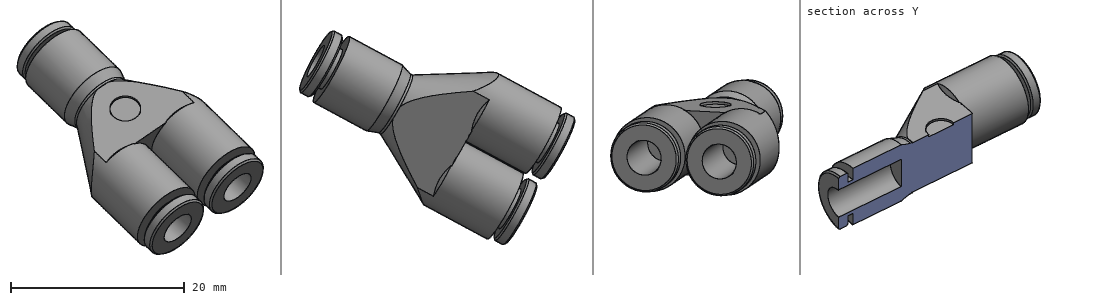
import cadquery as cq
import math

LENGTH = 29.55
WIDTH = 17.65
HEIGHT = 8.65

BARREL_RADIUS = HEIGHT / 2
BRANCH_OFFSET = WIDTH / 2 - BARREL_RADIUS
BARREL_START = 2.07
INLET_BARREL_END = 9.0

COLLAR_RADIUS = 4.05
COLLAR_THICKNESS = 1.4
COLLAR_CHAMFER = 0.2
STEM_RADIUS = 2.6
BORE_RADIUS = 2.05
BORE_DEPTH = INLET_BARREL_END

NECK_RADIUS = 3.87
NECK_START = 10.35
NECK_END = 10.63

BODY_END = 19.3
BODY_HALF_HEIGHT = 3.78
BODY_SLOPE = math.radians(30)
BODY_END_RADIUS = NECK_RADIUS + (BODY_END - NECK_END) * math.tan(BODY_SLOPE)

OUTLET_BARREL_START = 19.2
LEAD_IN_LENGTH = 0.38

RECESS_X = 14.77
RECESS_RADIUS = 1.77
RECESS_DEPTH = 0.3


def revolve_about_x(profile):
    """Revolve a closed (x, radius) profile about the X axis."""
    return cq.Workplane("XY").polyline(profile).close().revolve(360, (0, 0, 0), (1, 0, 0))


def make_port(barrel_profile):
    """Solid port with its mouth at X = 0; barrel_profile continues the outline behind the stem."""
    back = barrel_profile[-1][0]
    profile = [
        (0, 0),
        (0, COLLAR_RADIUS - COLLAR_CHAMFER),
        (COLLAR_CHAMFER, COLLAR_RADIUS),
        (COLLAR_THICKNESS - COLLAR_CHAMFER, COLLAR_RADIUS),
        (COLLAR_THICKNESS, COLLAR_RADIUS - COLLAR_CHAMFER),
        (COLLAR_THICKNESS, STEM_RADIUS),
        (BARREL_START, STEM_RADIUS),
        (BARREL_START, BARREL_RADIUS),
    ]
    return revolve_about_x(profile + barrel_profile + [(back, 0)])


def make_bore():
    return cq.Workplane("YZ").circle(BORE_RADIUS).extrude(BORE_DEPTH)


def at_outlet(shape, side):
    """Turn a port shape to face +X and move it to the outlet on the given side of the X axis."""
    return shape.rotate((0, 0, 0), (0, 0, 1), 180).translate((LENGTH, side * BRANCH_OFFSET, 0))


def make_body():
    """Cone on the X axis, kept between the flats and inside the outline of the two outlets."""
    cone = revolve_about_x([
        (NECK_END, 0),
        (NECK_END, NECK_RADIUS),
        (BODY_END, BODY_END_RADIUS),
        (BODY_END, 0),
    ])
    outline = cq.Workplane("YZ").slot2D(WIDTH, HEIGHT).extrude(BODY_END)
    flats = cq.Workplane("YZ").rect(WIDTH, 2 * BODY_HALF_HEIGHT).extrude(BODY_END)
    return cone.intersect(outline).intersect(flats)


def make_recess():
    floor = cq.Workplane("XY").workplane(offset=BODY_HALF_HEIGHT - RECESS_DEPTH)
    return floor.center(RECESS_X, 0).circle(RECESS_RADIUS).extrude(RECESS_DEPTH)


inlet = make_port([
    (INLET_BARREL_END, BARREL_RADIUS),
    (NECK_START, NECK_RADIUS),
    (NECK_END, NECK_RADIUS),
])
outlet_barrel_end = LENGTH - OUTLET_BARREL_START
outlet = make_port([
    (outlet_barrel_end, BARREL_RADIUS),
    (outlet_barrel_end + LEAD_IN_LENGTH, BODY_HALF_HEIGHT),
])

result = make_body().union(inlet)
for side in (1, -1):
    result = result.union(at_outlet(outlet, side))
    result = result.cut(at_outlet(make_bore(), side))
result = result.cut(make_bore()).cut(make_recess())